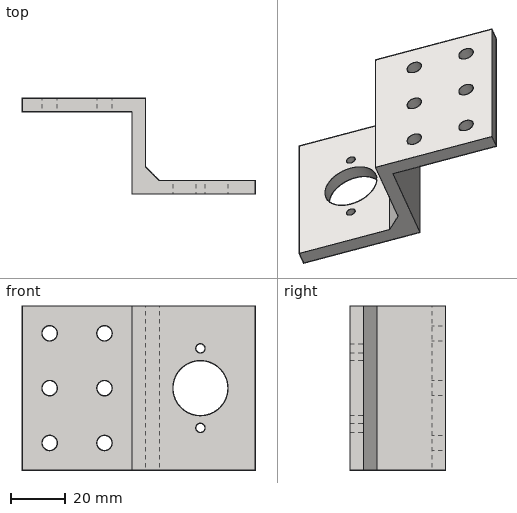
import cadquery as cq

length = 85.0
depth = 35.0
height = 60.0
thickness = 5.0

web_x = 40.0
gusset = 5.0

mount_diameter = 5.5
mount_pitch = 20.0
mount_edge = 10.0
mount_columns = 2
mount_rows = 3

bore_diameter = 20.0
bore_edge = 20.0
bore_x = length - bore_edge
screw_diameter = 3.3
screw_spacing = 29.0

mid_z = height / 2


def bracket_body():
    """Z-section extruded upward, front face at Y = 0."""
    web_right = web_x + thickness
    rear_face = depth - thickness
    return (
        cq.Workplane("XY")
        .moveTo(0, depth)
        .lineTo(web_right, depth)
        .lineTo(web_right, thickness + gusset)
        .lineTo(web_right + gusset, thickness)
        .lineTo(length, thickness)
        .lineTo(length, 0)
        .lineTo(web_x, 0)
        .lineTo(web_x, rear_face)
        .lineTo(0, rear_face)
        .close()
        .extrude(height)
    )


def holes_along_y(centers, diameter, start_y):
    """Cylinders through one flange, from its front face at start_y toward +Y."""
    return (
        cq.Workplane("XZ", origin=(0, start_y, 0))
        .pushPoints(centers)
        .circle(diameter / 2)
        .extrude(-thickness)
    )


mount_centers = [
    (mount_edge + column * mount_pitch, mid_z + (row - (mount_rows - 1) / 2) * mount_pitch)
    for column in range(mount_columns)
    for row in range(mount_rows)
]
screw_centers = [(bore_x, mid_z + side * screw_spacing / 2) for side in (-1, 1)]

result = (
    bracket_body()
    .cut(holes_along_y(mount_centers, mount_diameter, depth - thickness))
    .cut(holes_along_y([(bore_x, mid_z)], bore_diameter, 0))
    .cut(holes_along_y(screw_centers, screw_diameter, 0))
)